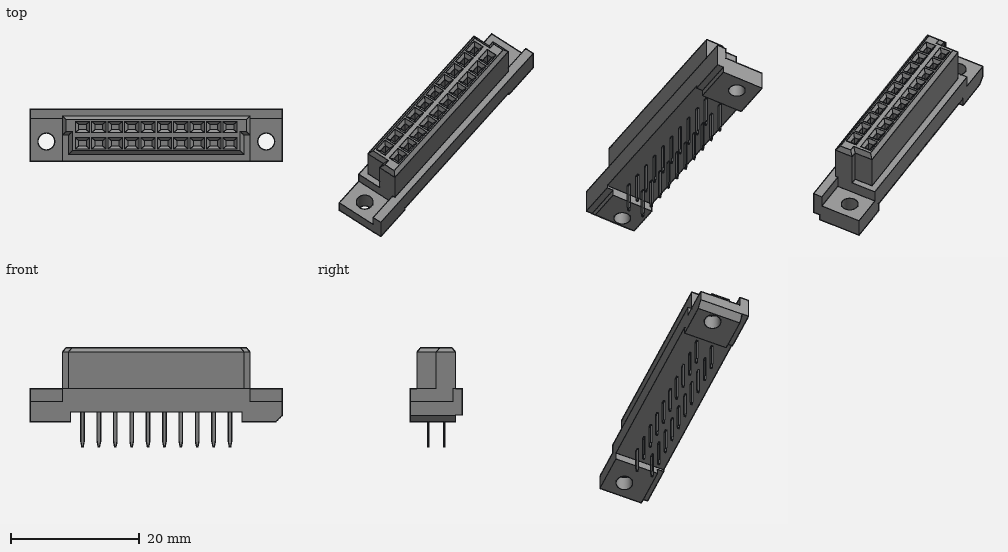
import cadquery as cq

base_length = 39.12
base_depth = 8.1
base_top = 5.15
front_y = -base_depth / 2
rear_y = base_depth / 2

ear_length = 5.0
ear_top = 3.15
ear_wall = 1.5
ear_hole_diameter = 2.6
ear_hole_x = 17.05
ear_hole_y = -0.98

foot_length = 6.25
slot_height = 1.53
rear_step_depth = 1.05
rear_step_height = 1.05
corner_chamfer = 1.0

tower_top = 11.55
tower_half_width = base_length / 2 - ear_length
tower_notch_width = 0.95
tower_notch_y = 0.0
tower_margin = 1.05
tower_front_y = front_y + tower_margin
tower_rear_y = rear_y - tower_margin
rim_chamfer_height = 0.65
rim_chamfer_inset = 0.6

contact_pitch = 2.55
contacts_per_row = 10
row_count = 2

mouth_width = 2.23
mouth_depth_y = 1.75
hole_width = 1.17
hole_depth_y = 0.82
mouth_height = 0.5
hole_height = 3.13

pin_length_below_feet = 3.87
pin_width = 0.6
pin_thickness = 0.25
pin_tip_width = 0.25
pin_tip_length = 0.85


def box_between(x_range, y_range, z_range):
    """Axis-aligned box given by its limits along each axis."""
    size = [high - low for low, high in (x_range, y_range, z_range)]
    corner = (x_range[0], y_range[0], z_range[0])
    return cq.Workplane("XY").box(*size, centered=False).translate(corner)


def make_base():
    half_length = base_length / 2
    slot_half_length = half_length - foot_length
    full_x = (-half_length, half_length)
    full_y = (front_y, rear_y)

    base = box_between(full_x, full_y, (0, base_top))
    base = base.edges("|Y and >X and <Z").chamfer(corner_chamfer)
    base = base.cut(box_between((-slot_half_length, slot_half_length), full_y, (0, slot_height)))
    base = base.cut(box_between(full_x, (rear_y - rear_step_depth, rear_y), (0, rear_step_height)))

    ear_y = (front_y, rear_y - ear_wall)
    for ear_x in ((-half_length, -tower_half_width), (tower_half_width, half_length)):
        base = base.cut(box_between(ear_x, ear_y, (ear_top, base_top)))

    ear_holes = (
        cq.Workplane("XY")
        .pushPoints([(-ear_hole_x, ear_hole_y), (ear_hole_x, ear_hole_y)])
        .circle(ear_hole_diameter / 2)
        .extrude(base_top)
    )
    return base.cut(ear_holes)


def make_tower():
    narrow_half_width = tower_half_width - tower_notch_width
    outline = [
        (-narrow_half_width, tower_front_y),
        (narrow_half_width, tower_front_y),
        (narrow_half_width, tower_notch_y),
        (tower_half_width, tower_notch_y),
        (tower_half_width, tower_rear_y),
        (-tower_half_width, tower_rear_y),
        (-tower_half_width, tower_notch_y),
        (-narrow_half_width, tower_notch_y),
    ]
    tower_bottom = ear_top
    tower = (
        cq.Workplane("XY", origin=(0, 0, tower_bottom))
        .polyline(outline)
        .close()
        .extrude(tower_top - tower_bottom)
    )
    return tower.faces(">Z").chamfer(rim_chamfer_height, rim_chamfer_inset)


def at_contacts(shape):
    """Copies of a shape, one at every contact position."""
    grid = cq.Workplane("XY").rarray(contact_pitch, contact_pitch, contacts_per_row, row_count)
    return grid.eachpoint(lambda place: shape.val().moved(place))


def make_socket():
    mouth = (
        cq.Workplane("XY", origin=(0, 0, tower_top))
        .rect(mouth_width, mouth_depth_y)
        .workplane(offset=-mouth_height)
        .rect(hole_width, hole_depth_y)
        .loft(ruled=True)
    )
    hole = (
        cq.Workplane("XY", origin=(0, 0, tower_top - mouth_height))
        .rect(hole_width, hole_depth_y)
        .extrude(-hole_height)
    )
    return mouth.union(hole)


def make_pin():
    tip_z = -pin_length_below_feet
    shoulder_z = tip_z + pin_tip_length
    root_z = ear_top
    outline = [
        (-pin_tip_width / 2, tip_z),
        (pin_tip_width / 2, tip_z),
        (pin_width / 2, shoulder_z),
        (pin_width / 2, root_z),
        (-pin_width / 2, root_z),
        (-pin_width / 2, shoulder_z),
    ]
    return cq.Workplane("XZ").polyline(outline).close().extrude(pin_thickness / 2, both=True)


result = (
    make_base()
    .union(make_tower())
    .cut(at_contacts(make_socket()))
    .union(at_contacts(make_pin()))
)